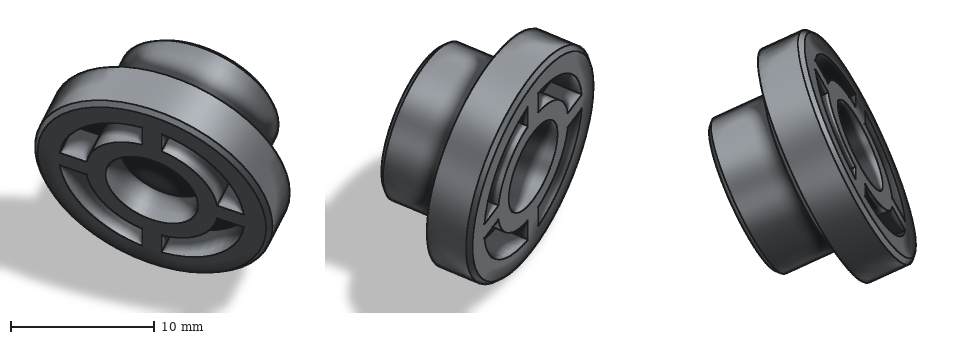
import cadquery as cq

FLANGE_DIAMETER = 18.0
BOSS_DIAMETER = 12.0
TOTAL_LENGTH = 9.0
FLANGE_THICKNESS = 3.5
CONE_LENGTH = 0.9
EDGE_CHAMFER = 0.35

BORE_DIAMETER = 7.0
POCKET_INNER_DIAMETER = 10.0
POCKET_OUTER_DIAMETER = 14.0
WEB_THICKNESS = 1.48
RECESS_DEPTH = 2.5


def make_body():
    """Solid flange, cone and boss with chamfered ends."""
    flange_radius = FLANGE_DIAMETER / 2
    boss_radius = BOSS_DIAMETER / 2
    profile = [
        (0, 0),
        (flange_radius - EDGE_CHAMFER, 0),
        (flange_radius, EDGE_CHAMFER),
        (flange_radius, FLANGE_THICKNESS),
        (boss_radius, FLANGE_THICKNESS + CONE_LENGTH),
        (boss_radius, TOTAL_LENGTH - EDGE_CHAMFER),
        (boss_radius - EDGE_CHAMFER, TOTAL_LENGTH),
        (0, TOTAL_LENGTH),
    ]
    return cq.Workplane("XY").polyline(profile).close().revolve(360, (0, 0, 0), (0, 1, 0))


def face_disc(diameter):
    """Disc running from the flange face to the recess floor."""
    return cq.Workplane("XZ").circle(diameter / 2).extrude(-RECESS_DEPTH)


def make_pockets():
    """Annular recess split into four by a cross of webs."""
    ring = face_disc(POCKET_OUTER_DIAMETER).cut(face_disc(POCKET_INNER_DIAMETER))
    for length_x, length_z in [
        (FLANGE_DIAMETER, WEB_THICKNESS),
        (WEB_THICKNESS, FLANGE_DIAMETER),
    ]:
        web = cq.Workplane("XZ").rect(length_x, length_z).extrude(-RECESS_DEPTH)
        ring = ring.cut(web)
    return ring


result = make_body().cut(face_disc(BORE_DIAMETER)).cut(make_pockets())